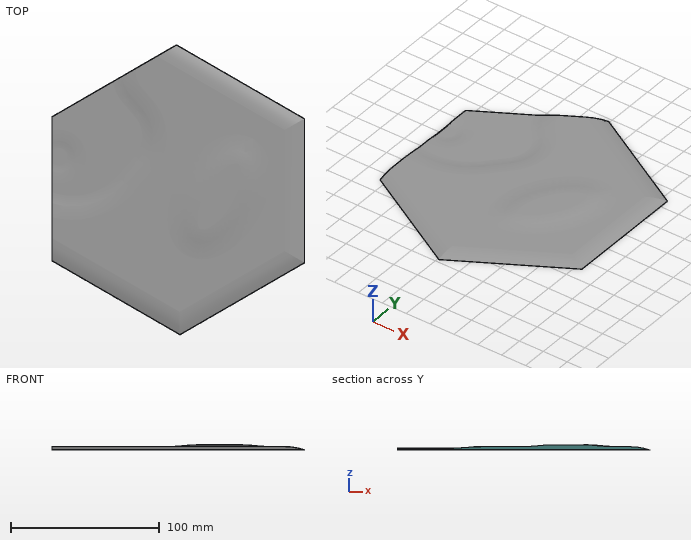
import cadquery as cq
import math


side_count = 6
overall_length = 195.1
extra_border = 2.3
hexagon_radius = (overall_length - extra_border * math.tan(math.pi / side_count)) / 2
apothem = hexagon_radius * math.cos(math.pi / side_count)
square_sides = (120, 180)
rounded_sides = (240, 300, 0, 60)
rounding_width = 13.3

step_height = 1.2
plate_top = 2 * step_height
hill_top = plate_top + step_height
recess_floor = plate_top - step_height
dip_floor = recess_floor / 2

hill_center = (26.5, -4.1)
hill_half_length = 34.5
hill_half_width = 19.1
hill_angle = 60
hill_foot_run = 10.7
hill_crest_run = 9.2
hill_point_count = 48

bay_center, bay_radius = (-14.6, 79.6), 24.2
corner_center, corner_radius = (-45.3, 36.5), 27.1
south_center, south_radius = (-72.0, 36.5), 47.0
bay_start_angle = 160
south_end_angle = -115
recess_rim_run = 9.2
recess_floor_run = 7.0
outside_x = -117
outside_y = 117

dip_center = (-81.4, 22.8)
dip_rim_radius = 18.1
dip_middle_radius = 10.7
dip_floor_radius = 5.9


def polar(center, radius, angle):
    turn = math.radians(angle)
    return (center[0] + radius * math.cos(turn), center[1] + radius * math.sin(turn))


def side_distance(direction):
    return apothem + extra_border if direction in square_sides else apothem


def tile_corner(direction, next_direction):
    """Meeting point of two neighbouring sides given by their outward directions."""
    first, second = side_distance(direction), side_distance(next_direction)
    gap = math.radians(next_direction - direction)
    along = (second - first * math.cos(gap)) / math.sin(gap)
    return polar(polar((0, 0), first, direction), along, direction + 90)


def flat_tile():
    pitch = 360 // side_count
    corners = [tile_corner(angle, (angle + pitch) % 360) for angle in range(0, 360, pitch)]
    return cq.Workplane("XY").polyline(corners).close().extrude(plate_top)


def edge_cutter(direction):
    """Material above a convex arc that leaves the top tangentially and ends at the underside."""
    arc_radius = (rounding_width**2 + plate_top**2) / (2 * plate_top)
    half_run = rounding_width / 2
    half_drop = arc_radius - math.sqrt(arc_radius**2 - half_run**2)
    return (
        cq.Workplane("XZ")
        .moveTo(apothem - rounding_width, plate_top)
        .threePointArc((apothem - half_run, plate_top - half_drop), (apothem, 0))
        .lineTo(apothem, plate_top)
        .close()
        .extrude(hexagon_radius, both=True)
        .rotate((0, 0, 0), (0, 0, 1), direction)
    )


def slope_layer(contour, flat_offset, flat_level, middle_level):
    """Half of an S-shaped slope: level at flat_offset, steepest at the halfway contour."""
    rise = middle_level - flat_level
    sections = [
        contour(flat_offset, flat_level),
        contour(flat_offset / 2, flat_level + rise / 4),
        contour(0, middle_level),
    ]
    return cq.Workplane(obj=cq.Solid.makeLoft(sections))


def hill_contour(offset, level):
    """Curve parallel to the halfway ellipse."""
    points = []
    for index in range(hill_point_count):
        turn = 2 * math.pi * index / hill_point_count
        normal = (hill_half_width * math.cos(turn), hill_half_length * math.sin(turn))
        scale = offset / math.hypot(*normal)
        x = hill_half_length * math.cos(turn) + scale * normal[0]
        y = hill_half_width * math.sin(turn) + scale * normal[1]
        points.append(cq.Vector(x, y, level))
    wire = cq.Wire.assembleEdges([cq.Edge.makeSpline(points, periodic=True)])
    wire = wire.rotate(cq.Vector(0, 0, 0), cq.Vector(0, 0, 1), hill_angle)
    return wire.translate(cq.Vector(*hill_center, 0))


def tangent_angle(center, radius, next_center, next_radius):
    """Direction from both centres to the outer tangent line of two circles, travelling clockwise.

    A negative radius puts its circle on the other side of the line.
    """
    dx, dy = next_center[0] - center[0], next_center[1] - center[1]
    lead = math.acos((radius - next_radius) / math.hypot(dx, dy))
    return math.remainder(math.degrees(math.atan2(dy, dx) + lead), 360)


def recess_contour(offset, level):
    """Curve parallel to the halfway contour, closed beyond the tile's square edges."""
    bay = -bay_radius + offset
    corner = corner_radius + offset
    south = south_radius + offset
    east_angle = tangent_angle(bay_center, bay, corner_center, corner)
    south_angle = tangent_angle(corner_center, corner, south_center, south)
    arcs = (
        (bay_center, bay, bay_start_angle - 180, east_angle),
        (corner_center, corner, east_angle, south_angle),
        (south_center, south, south_angle, south_end_angle),
    )
    outline = cq.Workplane("XY", origin=(0, 0, level)).moveTo(outside_x, outside_y)
    for center, radius, start, end in arcs:
        outline = outline.lineTo(*polar(center, radius, start))
        middle = polar(center, radius, (start + end) / 2)
        outline = outline.threePointArc(middle, polar(center, radius, end))
    end_y = polar(south_center, south, south_end_angle)[1]
    return outline.lineTo(outside_x, end_y).close().val()


def hill():
    middle = (plate_top + hill_top) / 2
    foot = slope_layer(hill_contour, hill_foot_run, plate_top, middle)
    return foot.union(slope_layer(hill_contour, -hill_crest_run, hill_top, middle))


def recess_cutters():
    middle = (plate_top + recess_floor) / 2
    rim = slope_layer(recess_contour, recess_rim_run, plate_top, middle)
    return rim, slope_layer(recess_contour, -recess_floor_run, recess_floor, middle)


def dip_cutter():
    middle = (recess_floor + dip_floor) / 2
    bend = (recess_floor - dip_floor) / 8
    upper_bend = ((dip_rim_radius + dip_middle_radius) / 2, recess_floor - bend)
    lower_bend = ((dip_floor_radius + dip_middle_radius) / 2, dip_floor + bend)
    return (
        cq.Workplane("XZ")
        .moveTo(0, recess_floor)
        .lineTo(dip_rim_radius, recess_floor)
        .threePointArc(upper_bend, (dip_middle_radius, middle))
        .threePointArc(lower_bend, (dip_floor_radius, dip_floor))
        .lineTo(0, dip_floor)
        .close()
        .revolve(360, (0, 0, 0), (0, 1, 0))
        .translate((*dip_center, 0))
    )


result = flat_tile()
for side in rounded_sides:
    result = result.cut(edge_cutter(side))
for cutter in recess_cutters():
    result = result.cut(cutter)
result = result.cut(dip_cutter()).union(hill())